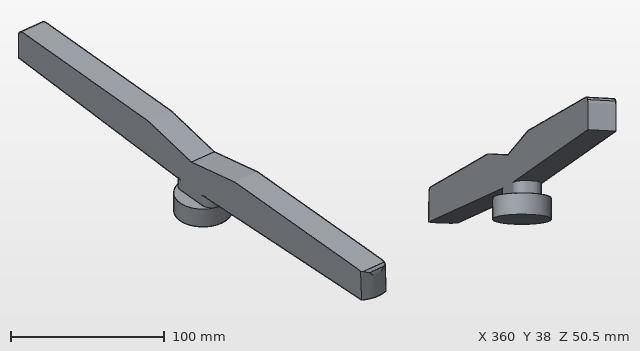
import cadquery as cq
import math

length = 360.0
height = 50.5
bar_width = 19.0
disc_diameter = 38.0

disc_height = 14.0
neck_top = 22.0
neck_corner_radius = 8.0

half_length = length / 2
neck_flat_half = disc_diameter / 2 - neck_corner_radius
end_bottom = 28.0
valley_height = 42.0
valley_half_width = 45.0
end_round = 4.5
round_facets = 3

front_setback = 3.2
back_setback = 1.5
end_lean = 1.0


def rounded_corner(end_x, side):
    """Faceted quarter round at a top end corner, from the end face up to the top face."""
    center_x = end_x - side * end_round
    center_z = height - end_round
    angles = [math.pi / 2 * step / round_facets for step in range(round_facets + 1)]
    return [
        (center_x + side * end_round * math.cos(angle), center_z + end_round * math.sin(angle))
        for angle in angles
    ]


def make_bar():
    """V-topped bar whose underside slopes down toward the neck."""
    outline = [
        (-half_length, end_bottom),
        (-neck_flat_half, neck_top),
        (neck_flat_half, neck_top),
        (half_length, end_bottom),
        *rounded_corner(half_length - end_lean, 1),
        (valley_half_width, height),
        (0, valley_height),
        (-valley_half_width, height),
        *reversed(rounded_corner(-half_length, -1)),
    ]
    bar = cq.Workplane("XZ").polyline(outline).close().extrude(bar_width / 2, both=True)
    return bar.intersect(make_end_envelope())


def end_plan(sketch, tip_x):
    """Plan outline of the bar with a shallow arc across its +X end."""
    half_width = bar_width / 2
    return (
        sketch.moveTo(-half_length, -half_width)
        .lineTo(tip_x - front_setback, -half_width)
        .threePointArc((tip_x, 0), (tip_x - back_setback, half_width))
        .lineTo(-half_length, half_width)
        .close()
    )


def make_end_envelope():
    """Bar-wide block whose bulged +X end leans inward toward the top.

    It starts at the neck top, with the same lean continued down from the bar's lower end corner.
    """
    lean_rate = end_lean / (height - end_bottom)
    lower_tip = half_length + lean_rate * (end_bottom - neck_top)
    lower = end_plan(cq.Workplane("XY").workplane(offset=neck_top), lower_tip)
    both = end_plan(lower.workplane(offset=height - neck_top), half_length - end_lean)
    return both.loft(ruled=True)


def make_foot():
    """Disc and the neck, which runs up into the bar."""
    disc = cq.Workplane("XY").circle(disc_diameter / 2).extrude(disc_height)
    neck = (
        cq.Workplane("XY")
        .workplane(offset=disc_height)
        .rect(disc_diameter, bar_width)
        .extrude(end_bottom - disc_height)
        .edges("|Z")
        .fillet(neck_corner_radius)
    )
    return disc.union(neck)


result = make_bar().union(make_foot())